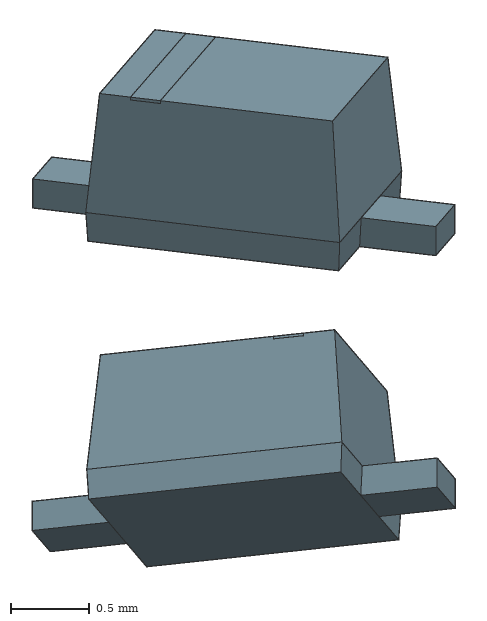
import cadquery as cq
import math

overall_length = 2.7
overall_height = 1.0
parting_length = 1.7
parting_width = 1.3
upper_draft_angle = 5.0
lower_draft_angle = 3.0

lead_width = 0.4
lead_thickness = 0.2

band_width = 0.2
band_depth = 0.02
band_end_margin = 0.208

parting_height = lead_thickness


def section_inset(z):
    """Distance each side wall stands inside the widest section at height z."""
    draft_angle = upper_draft_angle if z > parting_height else lower_draft_angle
    return abs(z - parting_height) * math.tan(math.radians(draft_angle))


def drafted_block(z_bottom, z_top):
    """Slice of the moulded body between two heights, with sloping walls."""
    bottom_inset = section_inset(z_bottom)
    top_inset = section_inset(z_top)
    return (
        cq.Workplane("XY", origin=(0, 0, z_bottom))
        .rect(parting_length - 2 * bottom_inset, parting_width - 2 * bottom_inset)
        .workplane(offset=z_top - z_bottom)
        .rect(parting_length - 2 * top_inset, parting_width - 2 * top_inset)
        .loft(ruled=True, combine=True)
    )


def make_band():
    """Strip across the top face whose ends follow the sloping walls."""
    top_half_length = parting_length / 2 - section_inset(overall_height)
    band_center_x = -top_half_length + band_end_margin + band_width / 2
    strip = (
        cq.Workplane("XY", origin=(band_center_x, 0, overall_height - band_depth))
        .rect(band_width, parting_width)
        .extrude(band_depth)
    )
    return strip.intersect(drafted_block(parting_height, overall_height))


def make_lower_housing():
    return drafted_block(0, parting_height)


def make_upper_housing(band):
    """Upper moulding with the recess that holds the band."""
    return drafted_block(parting_height, overall_height).cut(band)


def make_lead(side, lower_housing):
    """Lead on one end (side is -1 or +1), fitted against the sloping end wall."""
    inner_x = parting_length / 2 - section_inset(0)
    length = overall_length / 2 - inner_x
    bar = cq.Workplane("XY").box(length, lead_width, lead_thickness, centered=(True, True, False))
    return bar.translate((side * (inner_x + length / 2), 0, 0)).cut(lower_housing)


band = make_band()
lower_housing = make_lower_housing()
upper_housing = make_upper_housing(band)
leads = [make_lead(side, lower_housing) for side in (-1, 1)]

bodies = [lower_housing, upper_housing, band, *leads]
result = cq.Compound.makeCompound([body.solids().val() for body in bodies])